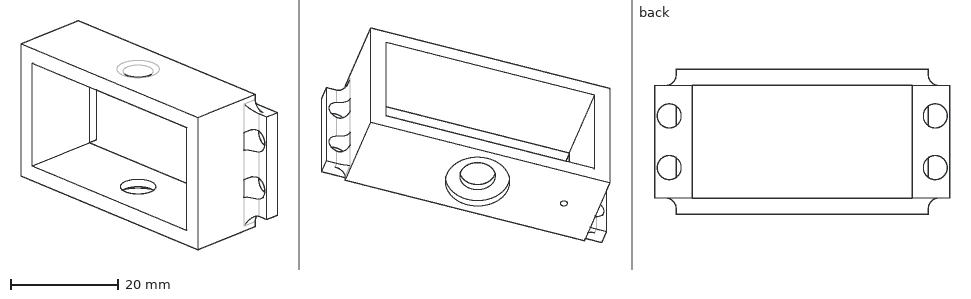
import cadquery as cq
import math

FRAME_WIDTH = 46.95
FRAME_DEPTH = 15.0
FRAME_HEIGHT = 27.0
WALL = 3.0

OVERALL_WIDTH = 55.0
TAB_WIDTH = 7.0
TAB_THICKNESS = 2.85
TAB_HEIGHT = FRAME_HEIGHT - 2 * WALL
TAB_REAR_OFFSET = 1.85
FILLET = 2.0
MOUNT_HOLE_DIAMETER = 4.45
MOUNT_HOLE_SPACING = 9.6
MOUNT_HOLE_EDGE = 2.75

CONE_RADIUS = 3.3
CONE_DEPTH = 2.9
RECESS_RIM_RADIUS = 3.95

SHAFT_HOLE_DIAMETER = 6.6
SHAFT_HOLE_LENGTH = 1.5
SHAFT_COUNTERBORE_DIAMETER = 12.0
PIN_HOLE_DIAMETER = 1.25
PIN_HOLE_X = 16.95

SIDE_X = FRAME_WIDTH / 2
REAR_Y = FRAME_DEPTH / 2
TAB_REAR_Y = REAR_Y + TAB_REAR_OFFSET
TAB_FRONT_Y = TAB_REAR_Y - TAB_THICKNESS
TOP_Z = FRAME_HEIGHT / 2
TAB_TOP_Z = TAB_HEIGHT / 2
ARC_STEP = FILLET * (1 - 0.5 ** 0.5)


def make_frame():
    outer = cq.Workplane("XY").box(FRAME_WIDTH, FRAME_DEPTH, FRAME_HEIGHT)
    opening = cq.Workplane("XY").box(FRAME_WIDTH - 2 * WALL, FRAME_DEPTH, FRAME_HEIGHT - 2 * WALL)
    return outer.cut(opening)


def make_blend():
    """Concave blend along the front and both ends of the right tab, mitred at its corners."""
    root_x = SIDE_X
    tip_x = SIDE_X + FILLET
    front_sweep = (
        cq.Workplane("XY")
        .moveTo(root_x, REAR_Y)
        .lineTo(tip_x, REAR_Y)
        .lineTo(tip_x, TAB_FRONT_Y)
        .threePointArc((root_x + ARC_STEP, TAB_FRONT_Y - ARC_STEP), (root_x, TAB_FRONT_Y - FILLET))
        .close()
        .extrude(FRAME_HEIGHT / 2, both=True)
    )
    end_sweep = (
        cq.Workplane("XZ")
        .moveTo(root_x, TAB_TOP_Z + FILLET)
        .threePointArc((root_x + ARC_STEP, TAB_TOP_Z + ARC_STEP), (tip_x, TAB_TOP_Z))
        .lineTo(tip_x, -TAB_TOP_Z)
        .threePointArc((root_x + ARC_STEP, -TAB_TOP_Z - ARC_STEP), (root_x, -TAB_TOP_Z - FILLET))
        .close()
        .extrude(FRAME_DEPTH, both=True)
    )
    return front_sweep.intersect(end_sweep)


def make_right_tab():
    """Mounting plate joined to its blend."""
    outer_x = OVERALL_WIDTH / 2
    plate = cq.Workplane("XY").box(TAB_WIDTH, TAB_THICKNESS, TAB_HEIGHT).translate(
        (outer_x - TAB_WIDTH / 2, TAB_REAR_Y - TAB_THICKNESS / 2, 0)
    )
    return plate.union(make_blend())


def make_mount_holes():
    """Blind holes from the rear, ending level with the front of the blend."""
    hole_x = OVERALL_WIDTH / 2 - MOUNT_HOLE_EDGE
    hole_centres = [
        (x_side * hole_x, z_side * MOUNT_HOLE_SPACING / 2)
        for x_side in (-1, 1)
        for z_side in (-1, 1)
    ]
    return (
        cq.Workplane("XZ", origin=(0, TAB_REAR_Y, 0))
        .pushPoints(hole_centres)
        .circle(MOUNT_HOLE_DIAMETER / 2)
        .extrude(TAB_THICKNESS + FILLET)
    )


def make_recess():
    """Cone of revolution whose rim curves outward to meet the top face tangentially."""
    slope = math.atan2(CONE_DEPTH, CONE_RADIUS)
    tangent_length = RECESS_RIM_RADIUS - CONE_RADIUS
    rim_radius = tangent_length / math.tan(slope / 2)

    def rim_point(angle):
        radius = RECESS_RIM_RADIUS - rim_radius * math.sin(angle)
        return radius, TOP_Z - rim_radius * (1 - math.cos(angle))

    return (
        cq.Workplane("XZ")
        .moveTo(0, TOP_Z)
        .lineTo(RECESS_RIM_RADIUS, TOP_Z)
        .threePointArc(rim_point(slope / 2), rim_point(slope))
        .lineTo(0, TOP_Z - CONE_DEPTH)
        .close()
        .revolve(360, (0, 0, 0), (0, 1, 0))
    )


def bottom_hole(x, diameter, depth):
    """Round cut rising from the underside."""
    return cq.Workplane("XY", origin=(x, 0, -TOP_Z)).circle(diameter / 2).extrude(depth)


right_tab = make_right_tab()
left_tab = right_tab.mirror("YZ")
result = (
    make_frame()
    .union(right_tab)
    .union(left_tab)
    .cut(make_mount_holes())
    .cut(make_recess())
    .cut(bottom_hole(0, SHAFT_HOLE_DIAMETER, WALL))
    .cut(bottom_hole(0, SHAFT_COUNTERBORE_DIAMETER, WALL - SHAFT_HOLE_LENGTH))
    .cut(bottom_hole(PIN_HOLE_X, PIN_HOLE_DIAMETER, WALL))
)